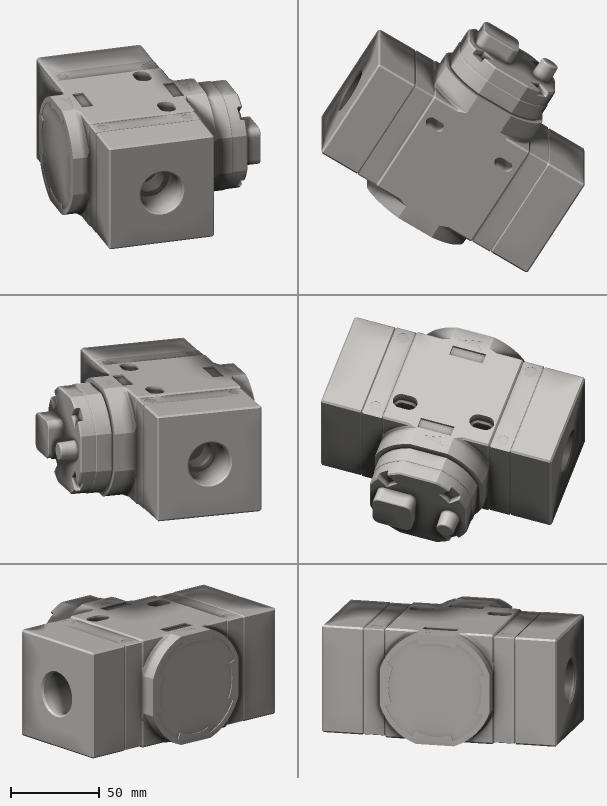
import cadquery as cq
import math


full_turn = 360
quarters = 4
quarter_turn = full_turn / quarters

body_side = 63.6
body_half = body_side / 2
body_depth = 63.0
body_chamfer = 1.0
collar_radius = 33.65
collar_front = -40.8
collar_rear = 44.2
flare_start = 32.5
flare_height = 3.0

plate_gap = 0.3
plate_start = body_half + plate_gap
plate_end = 43.6
plate_depth = 62.4
plate_height = 61.6
plate_chamfer_y = 0.9
plate_chamfer_z = 0.4
joint_overlap = 1.7
cap_start = 43.9
cap_end = 68.3
cap_side = 62.2
cap_chamfer = 1.0
cap_inner_chamfer = 0.7
joint_side = 60.6

screw_x = 37.75
screw_y = 24.95
screw_radius = 3.5
screw_depth = 0.2

port_radius = 12.3
port_chamfer = 1.0
port_depth = 24.2
passage_radius = 9.0

slot_x = 22.65
slot_y = 17.3
slot_length = 11.0
slot_width = 6.0
slot_seat_length = 14.2
slot_seat_width = 9.4
slot_seat_depth = 5.7

window_length = 19.8
window_width = 6.6
window_depth = 1.5
rear_window_center = (0.85, 28.35)
front_window_center = (-0.65, -24.8)
arrow_tip_x = 7.0
arrow_tail_x = -7.2
arrow_notch_x = -4.0
arrow_half_width = 3.25
arrow_depth = 0.15
arrow_rear_y = 36.5
arrow_front_y = -33.1

recess_radius = 27.1
lobe_radius = 30.7
lobe_angle = 45.0
first_lobe_angle = 42.4
recess_depth = 0.5

neck_radius = 26.4
flange_start = 44.9
flange_end = 54.2
flange_half = 29.1
flange_radius = 31.05
flange_chamfer = 0.3
head_end = 63.4
head_half = 28.7
head_radius = 30.6
head_chamfer = 0.8

notch_width = 8.3
notch_floor = 21.8
notch_depth = 3.2
notch_corner = 0.8

connector_center_x = 12.5
connector_width = 23.1
connector_height = 22.2
connector_corner = 4.2
connector_end = 72.6
connector_edge = 0.4
button_x = -19.0
button_end = 73.5
button_base_radius = 5.6
button_tip_radius = 5.1
button_edge = 0.9


def xz_plane(y, x=0):
    """Sketch plane at depth y whose local axes are X and Z; it extrudes toward -Y."""
    return cq.Workplane("XZ", origin=(x, y, 0))


def disc(radius, y_start, y_end):
    return xz_plane(y_end).circle(radius).extrude(y_end - y_start)


def flattened_disc(radius, half_width, y_start, y_end):
    """Disc about the Y axis with flats on its four sides."""
    square = xz_plane(y_end).rect(2 * half_width, 2 * half_width).extrude(y_end - y_start)
    return disc(radius, y_start, y_end).intersect(square)


def block(x_start, x_end, size_y, size_z):
    center = ((x_start + x_end) / 2, 0, 0)
    return cq.Workplane("XY", origin=center).box(x_end - x_start, size_y, size_z)


def make_body():
    body = cq.Workplane("XY").box(body_side, body_depth, body_side)
    body = body.edges().chamfer(body_chamfer)
    body = body.union(flattened_disc(collar_radius, body_half, collar_front, collar_rear))
    return body.union(make_flare(1)).union(make_flare(-1))


def make_flare(side):
    """45 degree cone that widens from the collar into the body, trimmed to the body sides."""
    base_y = flare_start - flare_height
    profile = [
        (0, side * base_y),
        (collar_radius + flare_height, side * base_y),
        (collar_radius, side * flare_start),
        (0, side * flare_start),
    ]
    cone = cq.Workplane("XY").polyline(profile).close().revolve(full_turn, (0, 0, 0), (0, 1, 0))
    trim = cq.Workplane("XY").box(body_side, 2 * flare_start, body_side)
    return cone.intersect(trim)


def make_plate():
    half_y = plate_depth / 2
    half_z = plate_height / 2
    outline = [
        (half_y - plate_chamfer_y, half_z),
        (half_y, half_z - plate_chamfer_z),
        (half_y, plate_chamfer_z - half_z),
        (half_y - plate_chamfer_y, -half_z),
        (plate_chamfer_y - half_y, -half_z),
        (-half_y, plate_chamfer_z - half_z),
        (-half_y, half_z - plate_chamfer_z),
        (plate_chamfer_y - half_y, half_z),
    ]
    length = plate_end - plate_start
    start = (plate_start, 0, 0)
    plate = cq.Workplane("YZ", origin=start).polyline(outline).close().extrude(length)
    seats = (
        cq.Workplane("XY", origin=(0, 0, half_z))
        .pushPoints([(screw_x, screw_y), (screw_x, -screw_y)])
        .circle(screw_radius)
        .extrude(-screw_depth)
    )
    return plate.cut(seats)


def make_end():
    """Plate, joint and end cap of the +X side."""
    cap = block(cap_start, cap_end, cap_side, cap_side)
    cap = cap.edges(">X or |X").chamfer(cap_chamfer).faces("<X").chamfer(cap_inner_chamfer)
    joint = block(body_half - joint_overlap, cap_start, joint_side, joint_side)
    return make_plate().union(joint).union(cap)


def make_port():
    """Chamfered port and narrower passage of the +X side."""
    shoulder_x = cap_end - port_depth
    profile = [
        (body_half, 0),
        (body_half, passage_radius),
        (shoulder_x, passage_radius),
        (shoulder_x, port_radius),
        (cap_end - port_chamfer, port_radius),
        (cap_end, port_radius + port_chamfer),
        (cap_end, 0),
    ]
    return cq.Workplane("XY").polyline(profile).close().revolve(full_turn, (0, 0, 0), (1, 0, 0))


def top_plane():
    return cq.Workplane("XY", origin=(0, 0, body_half))


def make_slots():
    centers = [(-slot_x, slot_y), (slot_x, slot_y)]
    through = top_plane().pushPoints(centers).slot2D(slot_length, slot_width).extrude(-body_side)
    seats = top_plane().pushPoints(centers).slot2D(slot_seat_length, slot_seat_width)
    return through.union(seats.extrude(-slot_seat_depth))


def make_window(center):
    return top_plane().center(*center).rect(window_length, window_width).extrude(-window_depth)


def make_arrow(y):
    outline = [
        (arrow_tip_x, y),
        (arrow_tail_x, y + arrow_half_width),
        (arrow_notch_x, y),
        (arrow_tail_x, y - arrow_half_width),
    ]
    return top_plane().polyline(outline).close().extrude(-arrow_depth)


def make_front_recess():
    recess_floor = collar_front + recess_depth
    recess = disc(recess_radius, collar_front, recess_floor)
    half_angle = math.radians(lobe_angle / 2)
    reach = 2 * lobe_radius
    wedge_x = reach * math.cos(half_angle)
    wedge_z = reach * math.sin(half_angle)
    wedge = (
        xz_plane(recess_floor)
        .polyline([(0, 0), (wedge_x, -wedge_z), (wedge_x, wedge_z)])
        .close()
        .extrude(recess_depth)
    )
    lobe = disc(lobe_radius, collar_front, recess_floor).intersect(wedge)
    for quarter in range(quarters):
        angle = first_lobe_angle + quarter_turn * quarter
        recess = recess.union(lobe.rotate((0, 0, 0), (0, 1, 0), -angle))
    return recess


def make_head():
    neck = disc(neck_radius, collar_rear, flange_start)
    flange = flattened_disc(flange_radius, flange_half, flange_start, flange_end)
    flange = flange.faces("<Y or >Y").chamfer(flange_chamfer)
    head = flattened_disc(head_radius, head_half, flange_end, head_end)
    head = head.faces(">Y").chamfer(head_chamfer)
    for quarter in range(quarters):
        angle = quarter_turn * (quarter + 0.5)
        head = head.cut(make_notch().rotate((0, 0, 0), (0, 1, 0), angle))
    return neck.union(flange).union(head).union(make_connector()).union(make_button())


def make_notch():
    """Rim notch on the +X side with its two floor corners rounded."""
    length = head_radius - notch_floor
    center = (notch_floor + length / 2, head_end, 0)
    notch = cq.Workplane("XY", origin=center).box(length, 2 * notch_depth, notch_width)
    return notch.edges("|X").fillet(notch_corner)


def make_connector():
    block_on_head = (
        xz_plane(connector_end, connector_center_x)
        .rect(connector_width, connector_height)
        .extrude(connector_end - head_end)
    )
    return block_on_head.edges("|Y").fillet(connector_corner).faces(">Y").chamfer(connector_edge)


def make_button():
    profile = [
        (head_end, 0),
        (head_end, button_base_radius),
        (button_end, button_tip_radius),
        (button_end, 0),
    ]
    button = cq.Workplane("YZ").polyline(profile).close().revolve(full_turn, (0, 0, 0), (1, 0, 0))
    return button.faces(">Y").edges().fillet(button_edge).translate((button_x, 0, 0))


def build():
    part = make_body()
    for center in (rear_window_center, front_window_center):
        part = part.cut(make_window(center))
    part = part.cut(make_window(rear_window_center).rotate((0, 0, 0), (0, 1, 0), -quarter_turn))
    for y in (arrow_rear_y, arrow_front_y):
        part = part.cut(make_arrow(y))
    part = part.cut(make_slots()).cut(make_front_recess())
    end = make_end()
    part = part.union(end).union(end.mirror("YZ"))
    port = make_port()
    part = part.cut(port).cut(port.mirror("YZ"))
    return part.union(make_head())


result = build()